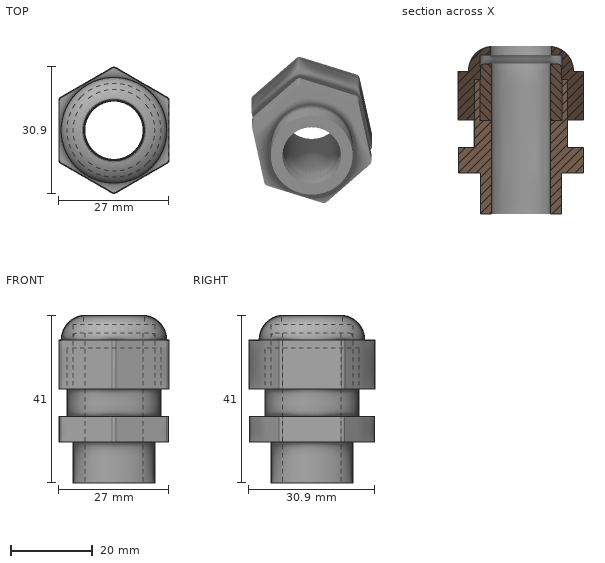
import cadquery as cq


SPIGOT_TOP = 10.0
BODY_HEX_TOP = 16.3
CAP_BOTTOM = 23.0
DOME_BASE = 35.0
CAP_TOP = 41.01
SEAL_TOP = 36.75
LIP_THICKNESS = 2.2

CAP_HEX_WIDTH = 27.0
BODY_HEX_WIDTH = 26.8
HEX_CORNER_RADIUS = 1.0

SPIGOT_RADIUS = 10.0
COLLAR_RADIUS = 11.5
CABLE_BORE_RADIUS = 7.15
SEAL_RADIUS = 10.0
SEAL_EDGE_FILLET = 1.0
DOME_RADIUS = 12.93
CAP_MOUTH_RADIUS = 7.45
MOUTH_RIM_RADIUS = 7.72

DOME_HEIGHT = CAP_TOP - DOME_BASE
DOME_INSET = DOME_RADIUS - MOUTH_RIM_RADIUS
DOME_ARC_RADIUS = (DOME_HEIGHT**2 + DOME_INSET**2) / (2 * DOME_INSET)

COLLAR_TOP = 33.0
SEAL_BOTTOM = CAP_BOTTOM


def cylinder(radius, bottom, top):
    return cq.Workplane("XY").workplane(offset=bottom).circle(radius).extrude(top - bottom)


def hex_prism(width, bottom, top):
    """Hexagonal prism with rounded upright corners; width is across the flats."""
    return (
        cq.Workplane("XY")
        .workplane(offset=bottom)
        .polygon(6, width, circumscribed=True)
        .extrude(top - bottom)
        .edges("|Z")
        .fillet(HEX_CORNER_RADIUS)
    )


def make_body():
    """Spigot, hexagon and collar, bored for the cable and counterbored for the seal."""
    spigot = cylinder(SPIGOT_RADIUS, 0, SPIGOT_TOP)
    hexagon = hex_prism(BODY_HEX_WIDTH, SPIGOT_TOP, BODY_HEX_TOP)
    collar = cylinder(COLLAR_RADIUS, BODY_HEX_TOP, COLLAR_TOP)
    cable_bore = cylinder(CABLE_BORE_RADIUS, 0, COLLAR_TOP)
    seal_seat = cylinder(SEAL_RADIUS, SEAL_BOTTOM, COLLAR_TOP)
    return spigot.union(hexagon).union(collar).cut(cable_bore).cut(seal_seat)


def make_seal():
    """Plain sleeve with a rounded outer top edge."""
    sleeve = cylinder(SEAL_RADIUS, SEAL_BOTTOM, SEAL_TOP).faces(">Z").edges().fillet(SEAL_EDGE_FILLET)
    return sleeve.cut(cylinder(CABLE_BORE_RADIUS, SEAL_BOTTOM, SEAL_TOP))


def make_cap():
    """Domed hexagonal cap, hollow for the collar and the seal, with a lip around its mouth."""
    hexagon = hex_prism(CAP_HEX_WIDTH, CAP_BOTTOM, DOME_BASE)
    dome = (
        cq.Workplane("XZ")
        .moveTo(0, DOME_BASE)
        .lineTo(DOME_RADIUS, DOME_BASE)
        .radiusArc((MOUTH_RIM_RADIUS, CAP_TOP), -DOME_ARC_RADIUS)
        .lineTo(0, CAP_TOP)
        .close()
        .revolve()
    )
    mouth = cylinder(CAP_MOUTH_RADIUS, CAP_BOTTOM, CAP_TOP)
    collar_pocket = cylinder(COLLAR_RADIUS, CAP_BOTTOM, COLLAR_TOP)
    seal_pocket = cylinder(SEAL_RADIUS, COLLAR_TOP, CAP_TOP - LIP_THICKNESS)
    return hexagon.union(dome).cut(mouth).cut(collar_pocket).cut(seal_pocket)


body = make_body()
seal = make_seal()
cap = make_cap()

result = cq.Compound.makeCompound([body.val(), seal.val(), cap.val()])